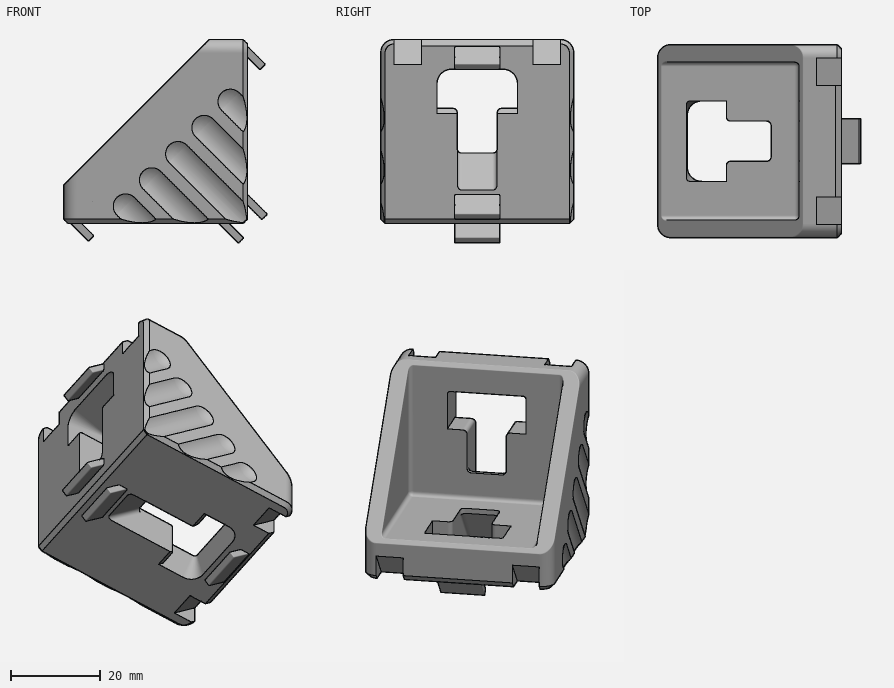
import cadquery as cq
import math


overall = 45.25
tab_reach = 4.3
leg = overall - tab_reach
width = 43.0
half_width = width / 2
end_face = 8.55
corner_radius = 3.0
edge_chamfer = 1.0
rim_fillet = 0.23

plate = 9.45
side_wall = 3.95
cavity_fillet = 1.0

end_chamfer = 1.4
notch_leg = 5.55
notch_outer = half_width - corner_radius
notch_width = 6.1

head_far = 34.5
head_near = 25.65
head_width = 17.85
stem_near = 15.7
stem_width = 8.85
stem_radius = 1.0
throat_radius = 1.0
head_radius_inside = 0.65
head_radius_outside = 3.15
head_draft = 0.2
stem_lip = 1.18
relief_leg = 1.18

groove_count = 5
groove_pitch = 8.25
groove_start = 21.9
groove_half_width = 2.75
groove_depth = 0.8

tab_width = 10.05
tab_thickness = 1.7
tab_edge = 0.23
tab_length = 6.35
inner_tab_row = 2.85
outer_tab_row = 26.1
outer_tab_tip = -22.22
inner_tab_tip = (tab_reach - tab_edge) * math.sqrt(2) + 2 * tab_edge - inner_tab_row - tab_thickness
tab_places = [(inner_tab_row, inner_tab_tip), (outer_tab_row, outer_tab_tip)]

outward = cq.Vector(1, 0, -1).normalized()
across = cq.Vector(1, 0, 1).normalized()


def on_both_plates(shape):
    """Shape together with its reflection on the other plate."""
    return shape.union(shape.mirror(across, (0, 0, 0)))


def prism(points, y_from, y_to):
    """Polygon of (x, z) points extruded along Y."""
    return cq.Workplane("XZ", origin=(0, y_from, 0)).polyline(points).close().extrude(y_from - y_to)


def make_body():
    """Triangular block with rounded free ends and bevelled outer edges."""
    outline = [(0, 0), (0, leg), (-end_face, leg), (-leg, end_face), (-leg, 0)]
    body = prism(outline, -half_width, half_width)
    body = body.faces("<X").edges("|Z").fillet(corner_radius)
    body = body.faces(">Z").edges("|X").fillet(corner_radius)
    plate_edges = body.faces("<Z or >X").edges()
    return plate_edges.edges("not((<X or >Z) and |Y)").chamfer(edge_chamfer)


def make_cavity():
    """Triangular hollow, open on the sloped face."""
    open_end = leg + plate
    outline = [(-plate, plate), (-plate, open_end), (-open_end, plate)]
    half_cavity = half_width - side_wall
    cavity = prism(outline, -half_cavity, half_cavity)
    return cavity.edges("|X or |Z or (>X and <Z)").fillet(cavity_fillet)


def corner_wedge(size, y_from, y_to):
    """Triangular cut along the lower free end of the bottom plate."""
    return prism([(-leg, 0), (-leg, size), (size - leg, 0)], y_from, y_to)


def make_end_cuts():
    """Bevel and two deeper corner notches at the free end of each plate."""
    notch_inner = notch_outer - notch_width
    cuts = corner_wedge(end_chamfer, -notch_outer, notch_outer)
    for y_from in (-notch_outer, notch_inner):
        cuts = cuts.union(corner_wedge(notch_leg, y_from, y_from + notch_width))
    return on_both_plates(cuts)


def head_section(z, far, radius):
    """Rectangle of the T head with its far corners rounded."""
    half = head_width / 2
    inset = radius * (1 - math.sqrt(0.5))
    return (
        cq.Workplane("XY", origin=(0, 0, z))
        .moveTo(-head_near, -half)
        .lineTo(-head_near, half)
        .lineTo(radius - far, half)
        .threePointArc((inset - far, half - inset), (-far, half - radius))
        .lineTo(-far, radius - half)
        .threePointArc((inset - far, inset - half), (radius - far, -half))
        .close()
        .wires()
        .val()
    )


def make_opening():
    """T-shaped hole through the bottom plate.

    The rounding of the far head corners grows toward the outer face. Below a short lip the
    stem end slopes away, and the near edge of the head is bevelled at the outer face.
    """
    inside = head_section(plate, head_far, head_radius_inside)
    outside = head_section(0, head_far - head_draft, head_radius_outside)
    head = cq.Workplane(cq.Solid.makeLoft([inside, outside], True))

    half_stem = stem_width / 2
    stem_far = (head_far + head_near) / 2
    stem_outline = [(-stem_far, 0), (-stem_far, plate), (-stem_near, plate), (-stem_near, 0)]
    stem = prism(stem_outline, -half_stem, half_stem)
    stem = stem.faces(">X").edges("|Z").fillet(stem_radius)
    opening = head.union(stem)
    margin = 0.45
    throat = cq.selectors.BoxSelector(
        (-head_near - margin, -half_stem - margin, 0), (margin - head_near, half_stem + margin, plate)
    )
    opening = opening.edges("|Z").edges(throat).fillet(throat_radius)

    drop = plate - stem_lip
    undercut_outline = [(-head_near, 0), (-head_near, drop), (-stem_near, drop), (drop - stem_near, 0)]
    undercut = prism(undercut_outline, -half_stem, half_stem)
    undercut = undercut.faces(">X").edges("not |Y").fillet(stem_radius)

    relief_outline = [(-head_near, 0), (-head_near, relief_leg), (relief_leg - head_near, 0)]
    relief = prism(relief_outline, -head_width / 2, head_width / 2)
    return opening.union(undercut).union(relief)


def make_grooves():
    """Shallow round-bottomed scoops with spherical ends on the -Y side."""
    radius = (groove_half_width**2 + groove_depth**2) / (2 * groove_depth)
    axis_y = groove_depth - half_width - radius
    grooves = []
    for i in range(groove_count):
        row = (i - (groove_count - 1) / 2) * groove_pitch
        start = across * row - outward * groove_start + cq.Vector(0, axis_y, 0)
        plane = cq.Plane(start, (0, 1, 0), outward)
        scoop = cq.Workplane(plane).circle(radius).extrude(groove_start + radius)
        rounded_end = cq.Workplane(origin=start.toTuple()).sphere(radius)
        grooves.append(scoop.union(rounded_end))
    return grooves


def make_tab(row, tip):
    """Flat tab leaning along the outward diagonal, with eased edges."""
    plane = cq.Plane((0, 0, 0), across, outward)
    tab = (
        cq.Workplane(plane)
        .workplane(offset=tip)
        .center(row + tab_thickness / 2, 0)
        .rect(tab_thickness, tab_width)
        .extrude(-tab_length)
    )
    return tab.edges("not <(1, 0, -1)").fillet(tab_edge)


body = make_body().cut(make_cavity())
body = body.faces(">(-1, 0, 1)").edges().fillet(rim_fillet)
body = body.cut(make_end_cuts())
body = body.cut(on_both_plates(make_opening()))
for groove in make_grooves():
    body = body.cut(groove).cut(groove.mirror("XZ"))
for tab_row, tab_tip in tab_places:
    body = body.union(on_both_plates(make_tab(tab_row, tab_tip)))

result = body